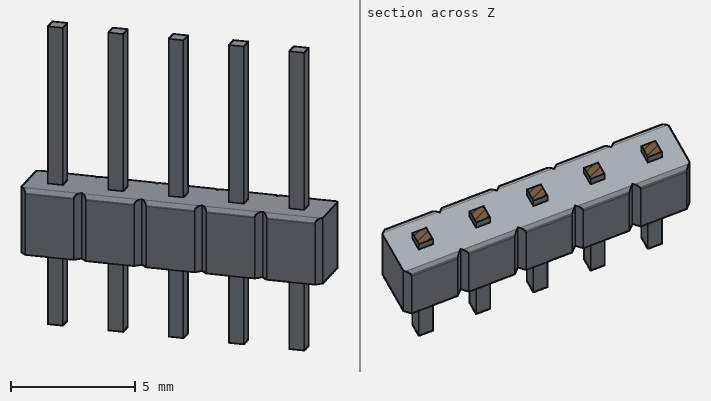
import cadquery as cq

pin_count = 5
pitch = 2.54

housing_length = pin_count * pitch
housing_width = 2.5
housing_height = 2.8
corner_chamfer = 0.25
top_edge_radius = 0.2

pin_side = 0.63
pin_length = 12.7
pin_tail = 3.2
pin_offset_x = -0.05


def row_positions(row_centre):
    """X positions of pin_count items spaced by the pitch about row_centre."""
    first = row_centre - (pin_count - 1) * pitch / 2
    return [first + index * pitch for index in range(pin_count)]


def make_rounded_bar():
    """Plain bar with its two long top edges rounded; base at Z = 0."""
    bar = cq.Workplane("XY").box(
        housing_length, housing_width, housing_height, centered=(True, True, False)
    )
    return bar.faces(">Z").edges("|X").fillet(top_edge_radius)


def make_cell_envelope(x):
    """One pitch-long prism with chamfered vertical corners."""
    cell = cq.Workplane("XY").center(x, 0).rect(pitch, housing_width).extrude(housing_height)
    return cell.edges("|Z").chamfer(corner_chamfer)


def make_housing():
    """Rounded bar trimmed to the row of cells, leaving V notches between them."""
    envelope = cq.Workplane("XY")
    for x in row_positions(0):
        envelope = envelope.union(make_cell_envelope(x))
    return make_rounded_bar().intersect(envelope)


def make_pins():
    """Row of square pins running through the housing."""
    pin_centres = [(x, 0) for x in row_positions(pin_offset_x)]
    return (
        cq.Workplane("XY")
        .workplane(offset=-pin_tail)
        .pushPoints(pin_centres)
        .rect(pin_side, pin_side)
        .extrude(pin_length)
    )


result = make_housing().union(make_pins())